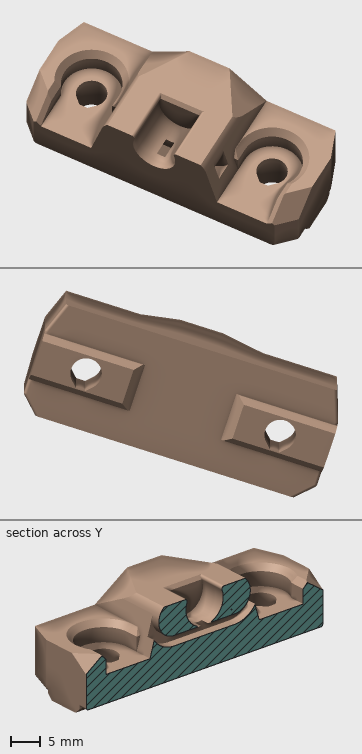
import cadquery as cq
import math

LENGTH = 52.0
DEPTH = 20.0
HEIGHT = 15.6
MID_Y = DEPTH / 2

OVERLAP = 0.5

PLATE_BOTTOM = 1.4
PLATE_TOP = 10.8
FRONT_CORNER = 3.0
BACK_CORNER_X = 2.0
BACK_CORNER_Y = 5.4
EDGE_RADIUS = 0.5
CORNER_SLOPE = 3.45

SCREW_X = 17.2
SCREW_HOLE_RADIUS = 2.65
SCREW_HOLE_FLAT = 2.95
POCKET_FLOOR = 6.9
POCKET_RADIUS = 5.2
POCKET_OUTER_WALL = 4.35
POCKET_CHAMFER = 1.1
RELIEF_DEPTH = 7.6

KEY_WIDTH = 8.35
KEY_CHAMFER = 1.1
KEY_INNER_BOTTOM = 9.8
KEY_INNER_TOP = 8.1

STRAP_CORNER_X = 6.65
STRAP_CORNER_Z = 13.0
STRAP_INNER_RADIUS = 3.45
STRAP_OUTER_RADIUS = 5.3
STRAP_WIDTH = 3.35
STRAP_Y = 2.5

BLOCK_FOOT_X = SCREW_X - POCKET_RADIUS
BLOCK_TOP_X = STRAP_CORNER_X + math.sqrt(STRAP_INNER_RADIUS**2 - (HEIGHT - STRAP_CORNER_Z) ** 2)
BACK_RIDGE_X = 3.8
BACK_CUT_DEPTH = 8.6

BARREL_RADIUS = 4.03
BARREL_Z = 13.5
BARREL_RIM_RADIUS = 0.5
BARREL_DEPTH = 9.4
BARREL_END_CHAMFER = 0.6


def box(x0, x1, y0, y1, z0, z1):
    return cq.Workplane("XY").box(x1 - x0, y1 - y0, z1 - z0, centered=False).translate((x0, y0, z0))


def along_y(profile, y0, y1):
    """Extrude a closed XZ profile from y0 to y1."""
    return profile.extrude(-(y1 - y0)).translate((0, y0, 0))


def both_sides(left):
    """Join a left-hand shape with its mirror image on the right."""
    return left.union(left.mirror("YZ"))


def half_space(origin, x_dir, normal):
    """Block filling the outer side of a plane."""
    plane = cq.Plane(origin=origin, xDir=x_dir, normal=normal)
    return cq.Workplane(plane).rect(2 * LENGTH, 2 * LENGTH).extrude(LENGTH)


def plate():
    end_x = LENGTH / 2
    front_x = end_x - FRONT_CORNER
    back_x = end_x - BACK_CORNER_X
    back_y = DEPTH - BACK_CORNER_Y
    outline = [
        (-front_x, 0), (front_x, 0), (end_x, FRONT_CORNER), (end_x, back_y),
        (back_x, DEPTH), (-back_x, DEPTH), (-end_x, back_y), (-end_x, FRONT_CORNER),
    ]
    body = cq.Workplane("XY").workplane(offset=PLATE_BOTTOM).polyline(outline).close()
    body = body.extrude(PLATE_TOP - PLATE_BOTTOM)
    for x in (-end_x, end_x):
        end_face = cq.selectors.BoxSelector((x - OVERLAP, 0, 0), (x + OVERLAP, DEPTH, HEIGHT))
        body = body.edges("|Z").edges(end_face).fillet(EDGE_RADIUS)
    body = body.faces("<Z").edges("not |X").fillet(EDGE_RADIUS)
    slope_z = PLATE_TOP - CORNER_SLOPE
    for side in (-1, 1):
        corner = (side * front_x, 0, slope_z)
        body = body.cut(half_space(corner, (side, 1, 0), (side, -1, math.sqrt(2))))
    return body


def screw_pocket():
    """Round pocket on the left, open to the front and relieved beside the block."""
    outer_x = -SCREW_X - POCKET_OUTER_WALL
    pocket = cq.Workplane("XY").circle(POCKET_RADIUS).extrude(HEIGHT)
    pocket = pocket.translate((-SCREW_X, MID_Y, POCKET_FLOOR))
    pocket = pocket.union(box(outer_x, -BLOCK_FOOT_X, -OVERLAP, MID_Y, POCKET_FLOOR, HEIGHT))
    return pocket.union(box(-SCREW_X, -BLOCK_TOP_X, -OVERLAP, RELIEF_DEPTH, POCKET_FLOOR, HEIGHT))


def cut_screw_pockets(body):
    body = body.cut(both_sides(screw_pocket()))
    rim_outer_x = SCREW_X + POCKET_OUTER_WALL + POCKET_CHAMFER
    rim_low = (-rim_outer_x, OVERLAP, PLATE_TOP - CORNER_SLOPE / 2)
    rim_high = (rim_outer_x, MID_Y + POCKET_RADIUS + OVERLAP, PLATE_TOP + OVERLAP)
    gap_x = BLOCK_TOP_X + OVERLAP
    center_gap = cq.selectors.BoxSelector((-gap_x, 0, 0), (gap_x, DEPTH, HEIGHT))
    rim = cq.selectors.BoxSelector(rim_low, rim_high) - center_gap
    return body.edges(rim).chamfer(POCKET_CHAMFER)


def screw_hole():
    """Left teardrop hole: 45-degree flanks towards the front, ending in a short flat."""
    tangent = SCREW_HOLE_RADIUS * math.sqrt(0.5)
    flat_half = SCREW_HOLE_RADIUS * math.sqrt(2) - SCREW_HOLE_FLAT
    hole = (
        cq.Workplane("XY")
        .moveTo(-tangent, -tangent)
        .threePointArc((0, SCREW_HOLE_RADIUS), (tangent, -tangent))
        .lineTo(flat_half, -SCREW_HOLE_FLAT)
        .lineTo(-flat_half, -SCREW_HOLE_FLAT)
        .close()
        .extrude(HEIGHT)
    )
    return hole.translate((-SCREW_X, MID_Y, 0))


def key():
    """Left key: a chamfered rail with a sloping inner end, reaching up into the plate."""
    half = KEY_WIDTH / 2
    root_z = PLATE_BOTTOM + EDGE_RADIUS
    section = [
        (MID_Y - half, root_z), (MID_Y - half, KEY_CHAMFER), (MID_Y - half + KEY_CHAMFER, 0),
        (MID_Y + half - KEY_CHAMFER, 0), (MID_Y + half, KEY_CHAMFER), (MID_Y + half, root_z),
    ]
    rail = cq.Workplane("YZ").polyline(section).close().extrude(LENGTH / 2)
    rail = rail.translate((-LENGTH / 2, 0, 0))
    side = [
        (-LENGTH / 2, 0), (-KEY_INNER_BOTTOM, 0), (-KEY_INNER_TOP, PLATE_BOTTOM),
        (-KEY_INNER_TOP, root_z), (-LENGTH / 2, root_z),
    ]
    return rail.intersect(along_y(cq.Workplane("XZ").polyline(side).close(), 0, DEPTH))


def center_block():
    """Tapered block with rounded shoulders and both back corners cut to a ridge."""
    foot_x = BLOCK_FOOT_X - STRAP_CORNER_X
    foot_z = POCKET_FLOOR - STRAP_CORNER_Z
    start = math.atan2(foot_z, foot_x) + math.acos(STRAP_INNER_RADIUS / math.hypot(foot_x, foot_z))
    end = math.asin((HEIGHT - STRAP_CORNER_Z) / STRAP_INNER_RADIUS)
    shoulder_x = STRAP_CORNER_X + STRAP_INNER_RADIUS * math.cos(start)
    shoulder_z = STRAP_CORNER_Z + STRAP_INNER_RADIUS * math.sin(start)
    middle = (start + end) / 2
    arc_x = STRAP_CORNER_X + STRAP_INNER_RADIUS * math.cos(middle)
    arc_z = STRAP_CORNER_Z + STRAP_INNER_RADIUS * math.sin(middle)
    profile = (
        cq.Workplane("XZ")
        .moveTo(-BLOCK_FOOT_X, POCKET_FLOOR - OVERLAP)
        .lineTo(-BLOCK_FOOT_X, POCKET_FLOOR)
        .lineTo(-shoulder_x, shoulder_z)
        .threePointArc((-arc_x, arc_z), (-BLOCK_TOP_X, HEIGHT))
        .lineTo(BLOCK_TOP_X, HEIGHT)
        .threePointArc((arc_x, arc_z), (shoulder_x, shoulder_z))
        .lineTo(BLOCK_FOOT_X, POCKET_FLOOR)
        .lineTo(BLOCK_FOOT_X, POCKET_FLOOR - OVERLAP)
        .close()
    )
    block = along_y(profile, 0, DEPTH)
    side_slope = (BLOCK_FOOT_X - shoulder_x) / (shoulder_z - POCKET_FLOOR)
    side_x = BLOCK_FOOT_X - side_slope * (PLATE_TOP - POCKET_FLOOR)
    ridge_end = cq.Vector(-BACK_RIDGE_X, DEPTH, HEIGHT)
    up_back = ridge_end - cq.Vector(-side_x, DEPTH, PLATE_TOP)
    along_top = ridge_end - cq.Vector(-BLOCK_TOP_X, DEPTH - BACK_CUT_DEPTH, HEIGHT)
    outward = up_back.cross(along_top)
    back_cut = half_space(ridge_end, along_top, outward)
    return block.cut(both_sides(back_cut))


def barrel_recess():
    """Round-bottomed recess whose rim is rounded along the sides and sloped at the end."""
    rim_z = HEIGHT - BARREL_RIM_RADIUS
    center_distance = BARREL_RADIUS + BARREL_RIM_RADIUS
    rim_x = math.sqrt(center_distance**2 - (rim_z - BARREL_Z) ** 2)
    neck_x = rim_x * BARREL_RADIUS / center_distance
    neck_z = BARREL_Z + (rim_z - BARREL_Z) * BARREL_RADIUS / center_distance
    narrow_x = rim_x - BARREL_RIM_RADIUS
    floor_z = BARREL_Z - BARREL_RADIUS
    profile = (
        cq.Workplane("XZ")
        .moveTo(-neck_x, neck_z)
        .threePointArc((0, floor_z), (neck_x, neck_z))
        .threePointArc((narrow_x, rim_z), (rim_x, HEIGHT))
        .lineTo(-rim_x, HEIGHT)
        .threePointArc((-narrow_x, rim_z), (-neck_x, neck_z))
        .close()
    )
    end_y = BARREL_DEPTH + BARREL_END_CHAMFER
    end_section = [
        (0, floor_z), (BARREL_DEPTH, floor_z), (BARREL_DEPTH, HEIGHT - BARREL_END_CHAMFER),
        (end_y, HEIGHT), (0, HEIGHT),
    ]
    end_shape = cq.Workplane("YZ").polyline(end_section).close().extrude(rim_x, both=True)
    return along_y(profile, 0, end_y).intersect(end_shape)


def strap_outline(radius):
    """Slot-shaped slab whose round ends are centred on the strap corners."""
    slot = cq.Workplane("XZ").slot2D(2 * (STRAP_CORNER_X + radius), 2 * radius)
    return along_y(slot, STRAP_Y, STRAP_Y + STRAP_WIDTH).translate((0, 0, STRAP_CORNER_Z))


def strap_channel():
    return strap_outline(STRAP_OUTER_RADIUS).cut(strap_outline(STRAP_INNER_RADIUS))


result = cut_screw_pockets(plate())
result = result.union(both_sides(key())).union(center_block())
result = result.cut(both_sides(screw_hole()))
result = result.cut(strap_channel()).cut(barrel_recess())